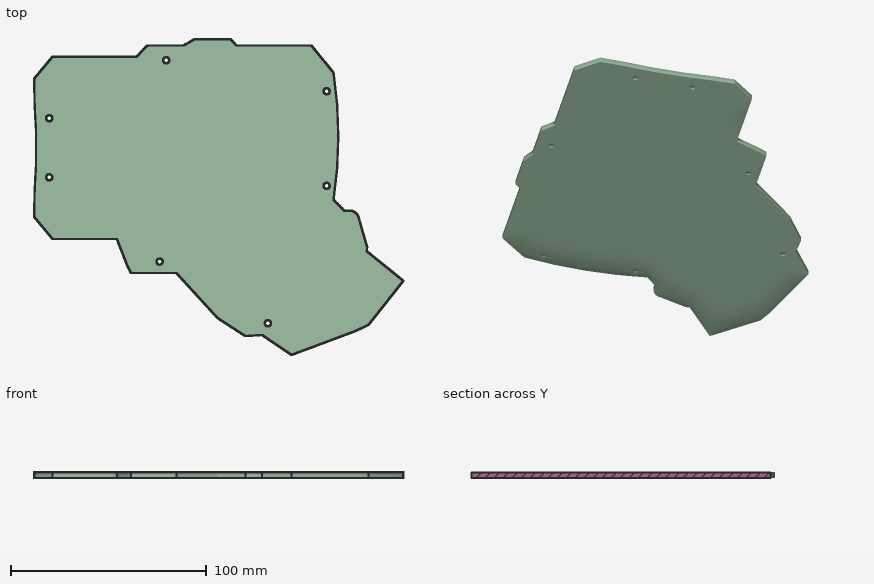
import cadquery as cq

length = 188.6
width = 161.3
thickness = 3.0
hole_diameter = 3.0

left_mid_y = 105.8
right_mid_y = 111.7

left_half_height = 35.3
left_corner_x = 9.5
left_corner_half_height = 46.5
waist_profile = [(0.2, 23.8), (0.5, 15.5), (1.0, 9.0)]

right_x = 153.0
right_bulge = 2.5
right_half_height = 32.5

back_y = 158.0
front_y = 41.9
shoulder_y = 73.8

paired_holes = [(7.7, left_mid_y, 15.0), (149.4, 110.5, 24.1)]
single_holes = [(67.5, 150.5), (64.1, 47.7), (119.4, 16.2)]


def left_upper_half():
    """Points of the left side from its waist up to the back edge."""
    waist = [(inset, left_mid_y + offset) for inset, offset in reversed(waist_profile)]
    return waist + [
        (0, left_mid_y + left_half_height),
        (left_corner_x, left_mid_y + left_corner_half_height),
    ]


def left_lower_half():
    """Points of the left side from the front edge up to its waist."""
    upper = left_upper_half()
    return [(x, 2 * left_mid_y - y) for x, y in reversed(upper)]


def back_edge():
    """Stepped back edge, left to right, ending at the right side."""
    return [
        (52.5, left_mid_y + left_corner_half_height),
        (57.7, back_y),
        (76.4, back_y),
        (81.9, width),
        (100.3, width),
        (103.4, back_y),
        (141.7, back_y),
        (right_x, right_mid_y + right_half_height),
    ]


def front_edge():
    """Front edge from the thumb area's lowest corner back to the left side."""
    return [
        (131.5, 0),
        (116.4, 10.2),
        (107.9, 9.6),
        (94.0, 18.7),
        (91.0, 21.9),
        (72.6, front_y),
        (49.5, front_y),
        (47.5, 45.6),
        (42.3, left_mid_y - left_corner_half_height),
    ]


def make_plate():
    outline = (
        cq.Workplane("XY")
        .polyline(left_upper_half() + back_edge())
        .threePointArc(
            (right_x + right_bulge, right_mid_y),
            (right_x, right_mid_y - right_half_height),
        )
        .lineTo(158.5, shoulder_y)
        .lineTo(162.2, shoulder_y)
        .threePointArc((164.5, 72.5), (165.8, 70.2))
        .lineTo(170.1, 55.0)
        .lineTo(170.0, 53.0)
        .lineTo(length, 38.0)
        .lineTo(170.9, 15.5)
        .lineTo(164.3, 12.3)
    )
    for x, y in front_edge() + left_lower_half():
        outline = outline.lineTo(x, y)
    return outline.close().extrude(thickness)


def hole_positions():
    positions = list(single_holes)
    for x, middle_y, half_spacing in paired_holes:
        positions += [(x, middle_y + half_spacing), (x, middle_y - half_spacing)]
    return positions


def make_holes():
    return (
        cq.Workplane("XY")
        .pushPoints(hole_positions())
        .circle(hole_diameter / 2)
        .extrude(thickness)
    )


result = make_plate().cut(make_holes())